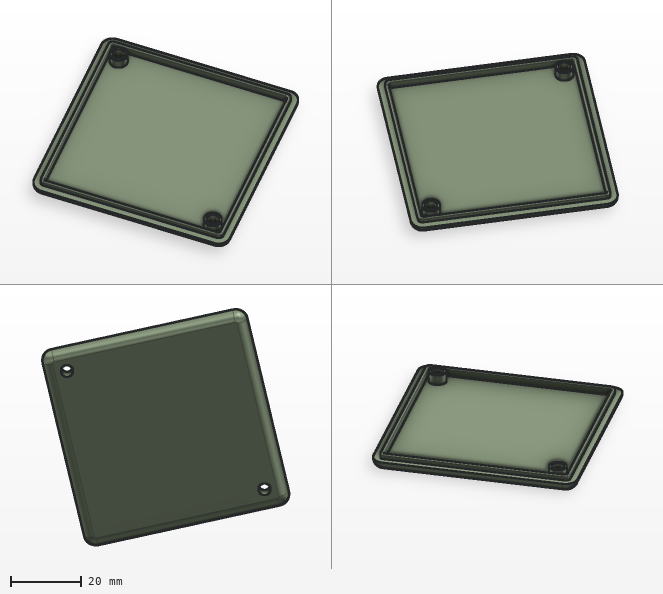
import cadquery as cq

side = 60.0
plate_height = 3.0
corner_radius = 3.5
floor_thickness = 2.0

flange_width = 2.1
rim_wall = 1.1
rim_top = 4.5
rim_outer_corner_radius = corner_radius - flange_width
pocket_corner_radius = 0.6
rim_edge_radius = 0.4
draft_angle = 2.0

boss_top = 5.0
boss_base_diameter = 5.2
hole_diameter = 3.5
boss_offset = 23.5
boss_centers = [(-boss_offset, boss_offset), (boss_offset, -boss_offset)]


def rounded_block(inset, radius, bottom, top, taper=0.0):
    """Rounded square block set in from the plate edge; a positive taper narrows it upward."""
    width = side - 2 * inset
    outline = cq.Sketch().rect(width, width).vertices().fillet(radius)
    return (
        cq.Workplane("XY", origin=(0, 0, bottom))
        .placeSketch(outline)
        .extrude(top - bottom, taper=taper)
    )


def make_plate():
    """Plate whose underside rounding runs up to the flange without a straight side."""
    tall_block = rounded_block(0, corner_radius, 0, rim_top).faces("<Z").edges().fillet(plate_height)
    above_plate = cq.Workplane("XY", origin=(0, 0, plate_height)).rect(side, side).extrude(rim_top)
    return tall_block.cut(above_plate)


def make_tray():
    """Plate with the rim on its flange, hollowed down to the floor."""
    rim = rounded_block(flange_width, rim_outer_corner_radius, plate_height, rim_top, draft_angle)
    pocket = rounded_block(
        flange_width + rim_wall, pocket_corner_radius, floor_thickness, rim_top, -draft_angle
    )
    tray = make_plate().union(rim).cut(pocket)
    return tray.faces(">Z").edges().fillet(rim_edge_radius)


def boss_columns(diameter, bottom, taper=0.0):
    """Round columns at both boss positions, from the given bottom diameter up to the boss top."""
    return (
        cq.Workplane("XY", origin=(0, 0, bottom))
        .pushPoints(boss_centers)
        .circle(diameter / 2)
        .extrude(boss_top - bottom, taper=taper)
    )


bosses = boss_columns(boss_base_diameter, floor_thickness, draft_angle)
holes = boss_columns(hole_diameter, 0)
result = make_tray().union(bosses).cut(holes)